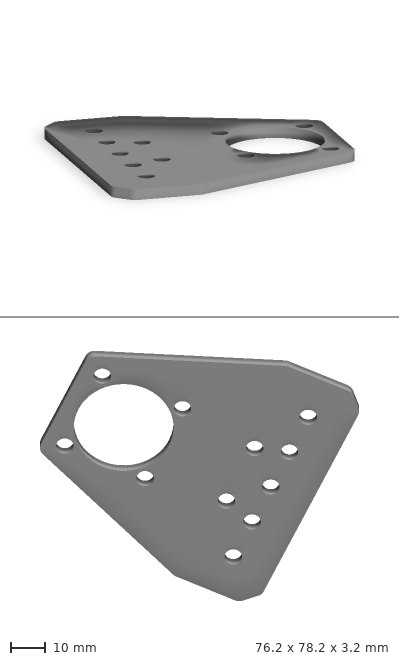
import cadquery as cq

width = 76.2
length = 78.2
thickness = 3.2
top_edge_width = 34.1
side_height = 25.35
bottom_chamfer = 5.0
corner_radius = 3.0

pitch = 12.7
hole_diameter = 5.0
bore_diameter = 28.55
bore_y = length / 2 - 19.1
row_y = -length / 2 + pitch
row_count = 5
pair_spacing = 19.1
pair_y = row_y + pair_spacing / 2


def make_plate():
    """Tapered plate with chamfered lower corners, every corner rounded."""
    bottom = -length / 2
    right_side = [
        (width / 2 - bottom_chamfer, bottom),
        (width / 2, bottom + bottom_chamfer),
        (width / 2, bottom + side_height),
        (top_edge_width / 2, length / 2),
    ]
    left_side = [(-x, y) for x, y in reversed(right_side)]
    plate = cq.Workplane("XY").polyline(right_side + left_side).close().extrude(thickness)
    return plate.edges("|Z").fillet(corner_radius)


def cut_holes(plate, centers, diameter):
    """Cut through holes of one diameter at the given centers."""
    cutters = cq.Workplane("XY").pushPoints(centers).circle(diameter / 2).extrude(thickness)
    return plate.cut(cutters)


mount_holes = [(x, bore_y + y) for x in (-pitch, pitch) for y in (-pitch, pitch)]

row_holes = [((i - (row_count - 1) / 2) * pitch, row_y) for i in range(row_count)]
pair_holes = [(side * pair_spacing / 2, pair_y) for side in (-1, 1)]

result = make_plate()
result = cut_holes(result, [(0, bore_y)], bore_diameter)
result = cut_holes(result, mount_holes + row_holes + pair_holes, hole_diameter)